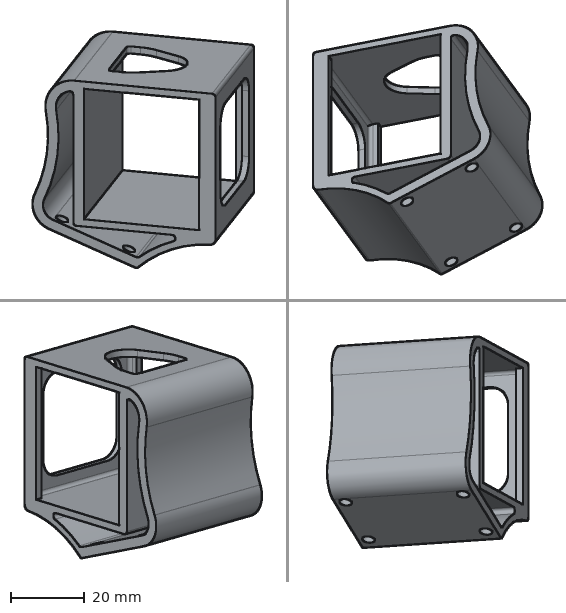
import cadquery as cq
import math

width = 51.65
depth = 40.0
height = 52.7

tunnel_left = 14.55
tunnel_right = 47.05
tunnel_bottom = 12.75
thin_wall = 2.1
tunnel_top = height - thin_wall
tunnel_middle_z = (tunnel_bottom + tunnel_top) / 2

shell_wall = 3.0
shoulder_radius = 8.15
shoulder_x = 11.8
heel_radius = 7.25
hollow_radius = 41.65
foot_slope = 20.0
arch_radius = 32.0
arch_crown_z = 8.85
heel_z = 15.75
toe_fillet = 0.55
top_corner_fillet = 0.95
bottom_corner_fillet = 1.5
cavity_fillet = 0.95

top_window_left = 18.6
top_window_tip = 38.05
top_window_width = 20.0
top_window_taper = 23.6
top_window_tip_radius = 6.5
top_window_side_fillet = 12.0
top_window_corner_fillet = 1.05

recess_lip = 2.05
recess_skin = 2.0
recess_fillet = 1.05
side_window_width = 29.5
side_window_height = 29.6
side_window_corner = 5.25

screw_diameter = 3.4
screw_edge_distance = 3.05
screw_heights = (1.4, 8.3)

shoulder = (shoulder_x, height - shoulder_radius)
heel = (heel_radius, heel_z)
arch = (width, arch_crown_z - arch_radius)


def polar(centre, radius, angle):
    """Point at an angle in degrees on a circle in the XZ plane."""
    a = math.radians(angle)
    return (centre[0] + radius * math.cos(a), centre[1] + radius * math.sin(a))


def direction(start, end):
    """Angle in degrees of the line from start to end."""
    return math.degrees(math.atan2(end[1] - start[1], end[0] - start[0]))


def find_hollow_centre():
    """Centre, left of the part, of the arc tangent to the shoulder and heel arcs."""
    to_shoulder = hollow_radius + shoulder_radius
    to_heel = hollow_radius + heel_radius
    span = math.dist(heel, shoulder)
    cosine = (to_heel**2 + span**2 - to_shoulder**2) / (2 * to_heel * span)
    return polar(heel, to_heel, direction(heel, shoulder) + math.degrees(math.acos(cosine)))


hollow = find_hollow_centre()


def foot_line_point(inset):
    """Point where the foot line, moved inward by inset, leaves the heel arc."""
    return polar(heel, heel_radius - inset, -90 - foot_slope)


def toe_point(inset, arch_inset):
    """Point where the foot line meets the underside arch."""
    radius = arch_radius + arch_inset
    start = foot_line_point(inset)
    offset = direction(arch, start) + foot_slope
    distance = math.dist(arch, start)
    across = distance * math.sin(math.radians(offset))
    along = -distance * math.cos(math.radians(offset)) - math.sqrt(radius**2 - across**2)
    return polar(start, along, -foot_slope)


def shell_body(inset, arch_inset):
    """Solid inside the shell outline moved inward, with sharp toe and +X corners."""
    shoulder_r = shoulder_radius - inset
    hollow_r = hollow_radius + inset
    heel_r = heel_radius - inset
    arch_r = arch_radius + arch_inset
    shoulder_end = direction(shoulder, hollow) % 360
    heel_start = direction(heel, hollow) % 360
    hollow_middle = (shoulder_end + heel_start) / 2 - 180
    heel_end = 270 - foot_slope
    toe = toe_point(inset, arch_inset)
    arch_middle = (direction(arch, toe) + 90) / 2
    return (
        cq.Workplane("XZ")
        .moveTo(width, height - inset)
        .lineTo(shoulder_x, height - inset)
        .threePointArc(
            polar(shoulder, shoulder_r, (90 + shoulder_end) / 2),
            polar(shoulder, shoulder_r, shoulder_end),
        )
        .threePointArc(
            polar(hollow, hollow_r, hollow_middle),
            polar(hollow, hollow_r, heel_start - 180),
        )
        .threePointArc(
            polar(heel, heel_r, (heel_start + heel_end) / 2),
            polar(heel, heel_r, heel_end),
        )
        .lineTo(*toe)
        .threePointArc(polar(arch, arch_r, arch_middle), polar(arch, arch_r, 90))
        .close()
        .extrude(depth / 2, both=True)
    )


def edge_at(point):
    """Selector for the Y-parallel edge nearest to an (x, z) point."""
    return cq.selectors.NearestToPointSelector((point[0], 0, point[1]))


def outer_shell():
    body = shell_body(0, 0)
    body = body.edges("|Y").edges(edge_at(toe_point(0, 0))).fillet(toe_fillet)
    body = body.edges("|Y").edges(edge_at((width, height))).fillet(top_corner_fillet)
    return body.edges("|Y").edges(edge_at((width, arch_crown_z))).fillet(bottom_corner_fillet)


def cavity():
    """Crescent space between the outer shell and the walls of the tunnel."""
    core_left = tunnel_left - shell_wall
    core_bottom = tunnel_bottom - thin_wall
    core = cq.Workplane("XY").box(width, depth, height, centered=(False, True, False))
    space = shell_body(shell_wall, thin_wall).cut(core.translate((core_left, 0, core_bottom)))
    core_corner = (core_left, core_bottom)
    arch_drop = core_bottom - arch[1]
    rear_tip = (width - math.sqrt((arch_radius + thin_wall) ** 2 - arch_drop**2), core_bottom)
    top_tip = (core_left, height - shell_wall)
    for corner in (core_corner, rear_tip, top_tip, toe_point(shell_wall, thin_wall)):
        space = space.edges("|Y").edges(edge_at(corner)).fillet(cavity_fillet)
    return space


def tunnel():
    return (
        cq.Workplane("XY")
        .box(tunnel_right - tunnel_left, depth, tunnel_top - tunnel_bottom, centered=(False, True, False))
        .translate((tunnel_left, 0, tunnel_bottom))
    )


def top_window():
    half = top_window_width / 2
    taper = math.radians(top_window_taper)
    tip_centre = (top_window_tip - top_window_tip_radius, 0)
    tip_start = polar(tip_centre, top_window_tip_radius, -90 + top_window_taper)
    shoulder_start = tip_start[0] - (half + tip_start[1]) / math.tan(taper)
    window = (
        cq.Workplane("XY", origin=(0, 0, tunnel_middle_z))
        .moveTo(top_window_left, -half)
        .lineTo(shoulder_start, -half)
        .lineTo(*tip_start)
        .threePointArc((top_window_tip, 0), (tip_start[0], -tip_start[1]))
        .lineTo(shoulder_start, half)
        .lineTo(top_window_left, half)
        .close()
        .extrude(height - tunnel_middle_z)
    )
    for side in (-half, half):
        bend = cq.selectors.NearestToPointSelector((shoulder_start, side, (tunnel_middle_z + height) / 2))
        window = window.edges("|Z").edges(bend).fillet(top_window_side_fillet)
    return window.edges("|Z and <X").fillet(top_window_corner_fillet)


def side_recess():
    """Recess behind the end lips of the +X wall, rounded where it meets its floor."""
    start_x = (tunnel_left + tunnel_right) / 2
    return (
        cq.Workplane("XY")
        .box(
            width - recess_skin - start_x,
            depth - 2 * recess_lip,
            tunnel_top - tunnel_bottom,
            centered=(False, True, False),
        )
        .faces(">X")
        .edges()
        .fillet(recess_fillet)
        .translate((start_x, 0, tunnel_bottom))
    )


def side_window():
    start_x = (tunnel_left + tunnel_right) / 2
    return (
        cq.Workplane("YZ", origin=(start_x, 0, tunnel_middle_z))
        .rect(side_window_width, side_window_height)
        .extrude(width - start_x)
        .edges("|X")
        .fillet(side_window_corner)
    )


def screw_holes():
    slope = math.radians(foot_slope)
    axis = cq.Vector(math.sin(slope), 0, math.cos(slope))
    start = foot_line_point(0)
    side_y = depth / 2 - screw_edge_distance
    holes = cq.Workplane("XY")
    for z in screw_heights:
        x = start[0] + (start[1] - z) / math.tan(slope)
        for y in (-side_y, side_y):
            centre = cq.Vector(x, y, z)
            hole = cq.Solid.makeCylinder(
                screw_diameter / 2, 2 * shell_wall, centre - axis * shell_wall, axis
            )
            holes = holes.add(hole)
    return holes.combine()


result = outer_shell()
for opening in (cavity(), tunnel(), top_window(), side_recess(), side_window(), screw_holes()):
    result = result.cut(opening)